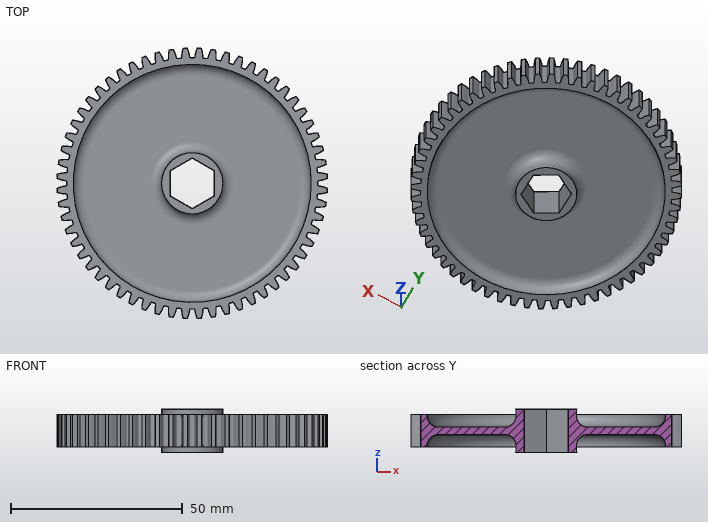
import cadquery as cq
import math

TOOTH_COUNT = 60
MODULE = 1.27
PRESSURE_ANGLE = math.radians(14.5)
DEDENDUM_FACTOR = 1.2
PITCH_RADIUS = TOOTH_COUNT * MODULE / 2
TIP_RADIUS = PITCH_RADIUS + MODULE
ROOT_RADIUS = PITCH_RADIUS - DEDENDUM_FACTOR * MODULE
BASE_RADIUS = PITCH_RADIUS * math.cos(PRESSURE_ANGLE)
TOOTH_PITCH_ANGLE = 2 * math.pi / TOOTH_COUNT
ROOT_FLOOR_FRACTION = 0.7
FLANK_STEPS = 6

HUB_LENGTH = 12.65
RIM_WIDTH = 9.525
WEB_THICKNESS = 2.3

RIM_INNER_RADIUS = 34.61
HUB_RADIUS = 8.89
WEB_FILLET = 3.175
HEX_ACROSS_FLATS = 12.7
HEX_SIDES = 6
HEX_ROTATION_DEGREES = 90


def polar(radius, angle):
    """XY point at the given radius and angle."""
    return (radius * math.cos(angle), radius * math.sin(angle))


def involute_angle(radius):
    """Angle swept by the base-circle involute when it reaches the given radius."""
    roll = math.acos(BASE_RADIUS / radius)
    return math.tan(roll) - roll


def half_tooth_angle(radius):
    """Half the angle that a tooth spans at the given radius."""
    at_pitch = TOOTH_PITCH_ANGLE / 4
    return at_pitch + involute_angle(PITCH_RADIUS) - involute_angle(radius)


def half_space_angle(radius):
    """Half the angle that a tooth space spans at the given radius."""
    return TOOTH_PITCH_ANGLE / 2 - half_tooth_angle(radius)


def tooth_space_points(space_centre):
    """Points across one tooth space: down a flank, along the rounded root and up the next flank."""
    flank_step = (TIP_RADIUS - BASE_RADIUS) / FLANK_STEPS
    side_points = [(ROOT_RADIUS, ROOT_FLOOR_FRACTION * half_space_angle(BASE_RADIUS))]
    for step in range(FLANK_STEPS + 1):
        radius = BASE_RADIUS + step * flank_step
        side_points.append((radius, half_space_angle(radius)))
    falling_side = [polar(radius, space_centre - half) for radius, half in reversed(side_points)]
    rising_side = [polar(radius, space_centre + half) for radius, half in side_points]
    return falling_side + [polar(ROOT_RADIUS, space_centre)] + rising_side


def make_toothed_blank():
    """Disc with involute teeth; a tooth space is centred on the +X axis."""
    tip_half = half_tooth_angle(TIP_RADIUS)
    first_tip_corner = polar(TIP_RADIUS, -half_space_angle(TIP_RADIUS))
    outline = cq.Workplane("XY").workplane(offset=-RIM_WIDTH / 2).moveTo(*first_tip_corner)
    for index in range(TOOTH_COUNT):
        space_centre = index * TOOTH_PITCH_ANGLE
        tooth_centre = space_centre + TOOTH_PITCH_ANGLE / 2
        outline = outline.spline(tooth_space_points(space_centre)[1:], includeCurrent=True)
        outline = outline.threePointArc(
            polar(TIP_RADIUS, tooth_centre),
            polar(TIP_RADIUS, tooth_centre + tip_half),
        )
    return outline.close().extrude(RIM_WIDTH)


def make_recess():
    """Ring removed above the web, with its floor rounded into the hub and the rim."""
    floor = WEB_THICKNESS / 2
    return (
        cq.Workplane("XY")
        .workplane(offset=floor)
        .circle(RIM_INNER_RADIUS)
        .circle(HUB_RADIUS)
        .extrude(HUB_LENGTH / 2 - floor)
        .faces("<Z")
        .edges()
        .fillet(WEB_FILLET)
    )


def make_hub():
    """Cylinder projecting equally beyond both faces of the rim."""
    return cq.Workplane("XY").circle(HUB_RADIUS).extrude(HUB_LENGTH / 2, both=True)


def make_hex_bore():
    """Through hole with two corners on the Y axis."""
    across_corners = HEX_ACROSS_FLATS / math.cos(math.pi / HEX_SIDES)
    return (
        cq.Workplane("XY")
        .polygon(HEX_SIDES, across_corners)
        .extrude(HUB_LENGTH, both=True)
        .rotate((0, 0, 0), (0, 0, 1), HEX_ROTATION_DEGREES)
    )


recess = make_recess()
result = (
    make_toothed_blank()
    .union(make_hub())
    .cut(recess)
    .cut(recess.mirror("XY"))
    .cut(make_hex_bore())
)